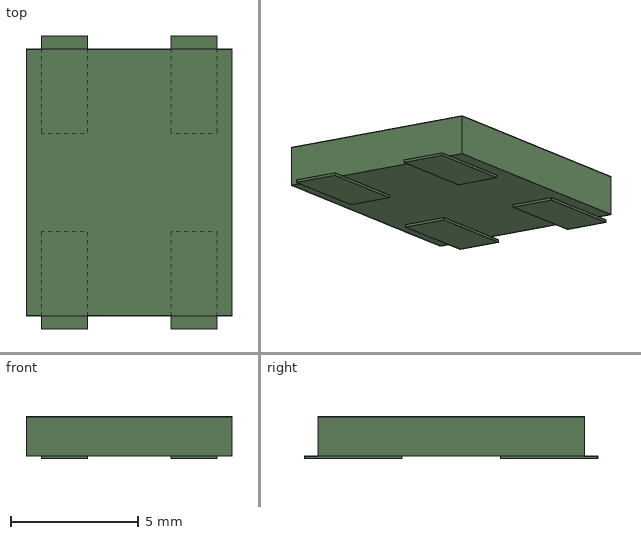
import cadquery as cq

body_width = 8.1
body_length = 10.5
total_height = 1.65
pad_thickness = 0.1
body_height = total_height - pad_thickness

pad_width = 1.82
pad_length = 3.84
pad_pitch = 5.1
pad_span = 11.54
pad_x = pad_pitch / 2
pad_y = (pad_span - pad_length) / 2


def make_body():
    """Plain block standing on top of the pads."""
    block = cq.Workplane("XY").box(body_width, body_length, body_height, centered=(True, True, False))
    return block.translate((0, 0, pad_thickness))


def make_pad(x, y):
    """Flat rectangular pad centred at (x, y), lying on Z = 0."""
    pad = cq.Workplane("XY").box(pad_width, pad_length, pad_thickness, centered=(True, True, False))
    return pad.translate((x, y, 0))


body = make_body()
pads = [make_pad(x, y) for x in (-pad_x, pad_x) for y in (-pad_y, pad_y)]

result = cq.Compound.makeCompound([body.val(), *[pad.val() for pad in pads]])